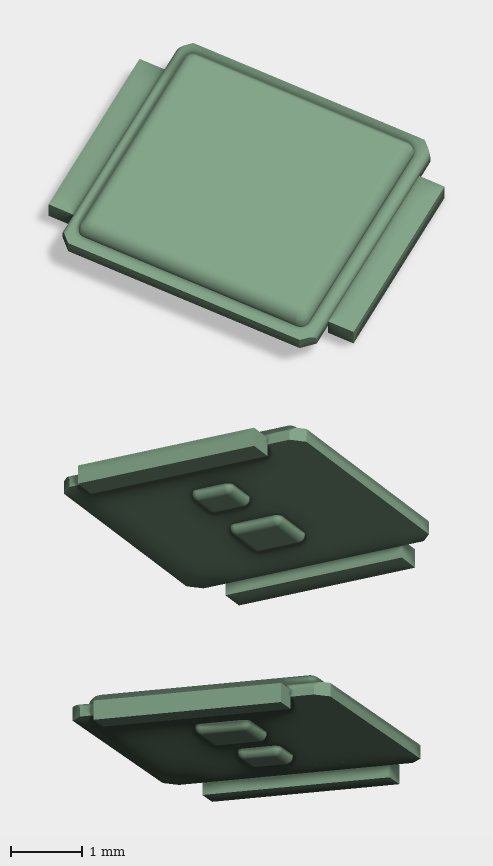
import cadquery as cq

flange_length = 4.0
flange_width = 3.85
flange_bottom = 0.18
flange_top = 0.375
corner_chamfer = 0.18
flange_edge_radius = 0.095

lid_length = 3.61
lid_width = 3.465
lid_top = 0.56
lid_edge_radius = 0.18
lid_corner_radius = 0.135

overall_length = 4.8
terminal_width = 2.8
terminal_height = 0.28
terminal_length = (overall_length - flange_length) / 2

die_length = lid_length - 2 * lid_edge_radius
die_width = lid_width - 2 * lid_edge_radius
die_top = flange_top
pad_bottom = 0.05
pad_edge_radius = 0.105
small_pad_size = 0.65
small_pad_x = -0.76
large_pad_size = 0.825
large_pad_x = 0.63


def block(length, width, bottom, top, center_x=0):
    """Box centred on center_x and on Y = 0, between two heights."""
    return (
        cq.Workplane("XY")
        .box(length, width, top - bottom, centered=(True, True, False))
        .translate((center_x, 0, bottom))
    )


def make_flange():
    """Plate with rounded upper edges at its X ends and cut corners."""
    flange = block(flange_length, flange_width, flange_bottom, flange_top)
    flange = flange.faces(">Z").edges("|Y").fillet(flange_edge_radius)
    outline = block(flange_length, flange_width, flange_bottom, flange_top)
    return flange.intersect(outline.edges("|Z").chamfer(corner_chamfer))


def make_lid():
    """Raised panel with round corners and a rounded top edge."""
    lid = block(lid_length, lid_width, flange_top, lid_top)
    lid = lid.edges("|Z").fillet(lid_corner_radius)
    return lid.faces(">Z").edges().fillet(lid_edge_radius)


def make_die():
    """Slab with contact pads rounded around their lower edges."""
    die = block(die_length, die_width, flange_bottom, die_top)
    for size, center_x in ((small_pad_size, small_pad_x), (large_pad_size, large_pad_x)):
        pad = block(size, size, pad_bottom, flange_bottom, center_x)
        die = die.union(pad.edges("|Z or <Z").fillet(pad_edge_radius))
    return die


def make_can(die):
    """Flange, lid and terminals in one piece, with a recess that fits the die."""
    can = make_flange().union(make_lid())
    for side in (-1, 1):
        terminal_x = side * (flange_length + terminal_length) / 2
        can = can.union(block(terminal_length, terminal_width, 0, terminal_height, terminal_x))
    return can.cut(die)


die = make_die()
can = make_can(die)

result = cq.Compound.makeCompound([can.val(), die.val()])